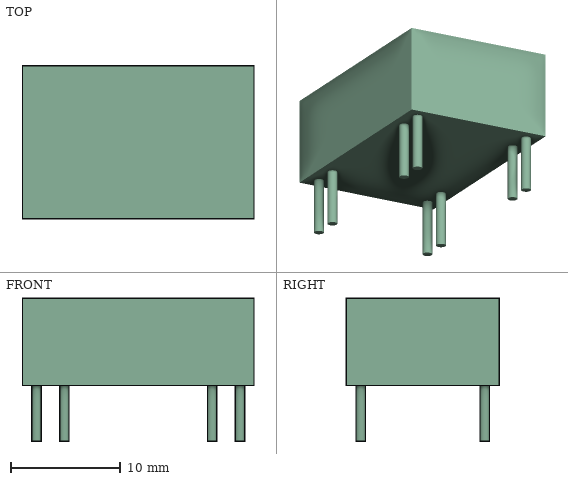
import cadquery as cq

housing_length = 21.2
housing_width = 14.0
total_height = 13.1
pin_length = 5.09
housing_height = total_height - pin_length

pin_diameter = 0.9
pin_pitch = 2.55
outer_pin_x = 9.3
inner_pin_x = outer_pin_x - pin_pitch
pin_row_y = 5.68


def make_housing():
    """Plain rectangular housing."""
    return cq.Workplane("XY").box(
        housing_length, housing_width, housing_height, centered=(True, True, False)
    )


def make_pin(x, y):
    """Straight round pin hanging from the underside of the housing."""
    return cq.Workplane("XY").center(x, y).circle(pin_diameter / 2).extrude(-pin_length)


housing = make_housing()

pins = []
for y in (-pin_row_y, pin_row_y):
    for x in (-outer_pin_x, -inner_pin_x, inner_pin_x, outer_pin_x):
        pins.append(make_pin(x, y).val())

result = cq.Compound.makeCompound([housing.val(), *pins])